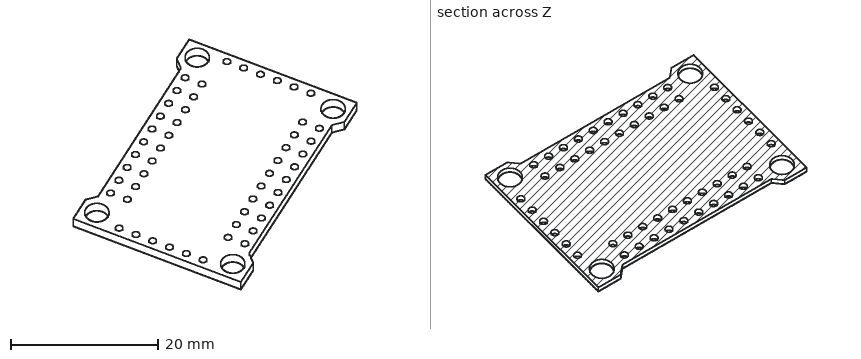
import cadquery as cq

BOARD_WIDTH = 25.4
BOARD_LENGTH = 35.56
THICKNESS = 1.6

PITCH = 2.54
HALF_PITCH = PITCH / 2

RECESS_DEPTH = HALF_PITCH
CORNER_TAB_LENGTH = 1.5 * PITCH

MOUNT_DIAMETER = 3.3
MOUNT_EDGE_OFFSET = 2.413

PIN_DIAMETER = 1.02
SIDE_PIN_COUNT = 10
END_PIN_COUNT = 6
SIDE_PIN_EDGE_OFFSET = PITCH
END_PIN_EDGE_OFFSET = HALF_PITCH

HALF_WIDTH = BOARD_WIDTH / 2
HALF_LENGTH = BOARD_LENGTH / 2


def centred_row(count):
    """Positions of a row of pins at the grid pitch, centred on zero."""
    return [(i - (count - 1) / 2) * PITCH for i in range(count)]


def make_board():
    """Plate with four corner tabs and recessed long sides."""
    waist_x = HALF_WIDTH - RECESS_DEPTH
    tab_y = HALF_LENGTH - CORNER_TAB_LENGTH
    waist_y = tab_y - RECESS_DEPTH
    right_side = [
        (HALF_WIDTH, -HALF_LENGTH),
        (HALF_WIDTH, -tab_y),
        (waist_x, -waist_y),
        (waist_x, waist_y),
        (HALF_WIDTH, tab_y),
        (HALF_WIDTH, HALF_LENGTH),
    ]
    left_side = [(-x, y) for x, y in reversed(right_side)]
    return cq.Workplane("XY").polyline(right_side + left_side).close().extrude(THICKNESS)


def mount_positions():
    """One mounting hole in each corner."""
    x = HALF_WIDTH - MOUNT_EDGE_OFFSET
    y = HALF_LENGTH - MOUNT_EDGE_OFFSET
    return [(sx * x, sy * y) for sx in (-1, 1) for sy in (-1, 1)]


def pin_positions():
    """A double row along each long side and a single row along each end."""
    outer_x = HALF_WIDTH - SIDE_PIN_EDGE_OFFSET
    inner_x = outer_x - PITCH
    end_y = HALF_LENGTH - END_PIN_EDGE_OFFSET
    side_columns = (-outer_x, -inner_x, inner_x, outer_x)
    side_pins = [(x, y) for x in side_columns for y in centred_row(SIDE_PIN_COUNT)]
    end_pins = [(x, y) for y in (-end_y, end_y) for x in centred_row(END_PIN_COUNT)]
    return side_pins + end_pins


def make_through_holes(positions, diameter):
    """Cylinders through the full thickness, to be cut from the board."""
    return cq.Workplane("XY").pushPoints(positions).circle(diameter / 2).extrude(THICKNESS)


board = make_board()
board = board.cut(make_through_holes(mount_positions(), MOUNT_DIAMETER))
board = board.cut(make_through_holes(pin_positions(), PIN_DIAMETER))

result = board